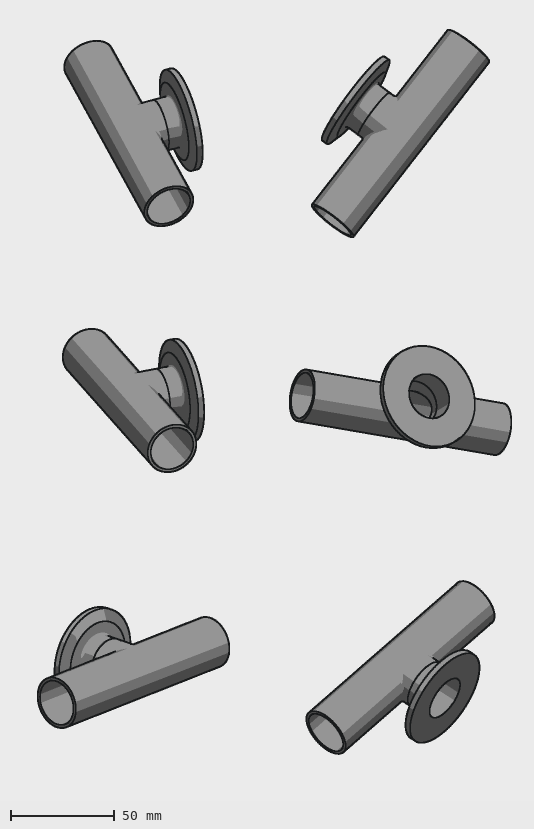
import cadquery as cq
import math

pipe_diameter = 25.4
wall = 1.6
pipe_radius = pipe_diameter / 2
bore_radius = pipe_radius - wall

run_length = 108.0
crotch_radius = 1.0

face_y = 41.3 - pipe_radius
ferrule_length = 12.6
flange_diameter = 50.4
rim_thickness = 3.0
flange_thickness = 5.0
back_diameter = 38.7
neck_fillet = 1.5
joint_y = face_y - ferrule_length


def run_cylinder(radius):
    """Cylinder along X over the whole run."""
    return cq.Workplane("YZ").circle(radius).extrude(run_length / 2, both=True)


def branch_cylinder(radius):
    """Cylinder from the run axis along +Y to the weld joint."""
    return cq.Workplane("XZ").circle(radius).extrude(-joint_y)


def make_crotch():
    """Fillet in the corner on the -X side of the branch.

    A ball rolling along the corner has its centre on the mitre ellipse of two pipes of
    radius reach, and touches the run and the branch on ellipses that lie in the two planes
    bounding the wedge. The wedge is trimmed to the flat bevel between those ellipses,
    then hollowed by the path of the ball.
    """
    reach = pipe_radius + crotch_radius
    wedge = (
        cq.Workplane("XY")
        .polyline([(0, 0), (-reach, pipe_radius), (-pipe_radius, reach)])
        .close()
        .extrude(pipe_radius, both=True)
    )
    diagonal_plane = cq.Plane((0, 0, 0), xDir=(-1, 1, 0), normal=(-1, -1, 0))
    bevel = (
        cq.Workplane(diagonal_plane)
        .ellipse((pipe_radius + reach) / math.sqrt(2), pipe_radius)
        .extrude(reach, both=True)
    )
    ball_path = cq.Workplane(diagonal_plane).ellipse(reach * math.sqrt(2), reach)
    start_plane = cq.Plane((-reach, reach, 0), xDir=(-1, 1, 0), normal=(0, 0, 1))
    ball_sweep = cq.Workplane(start_plane).circle(crotch_radius).sweep(ball_path)
    return wedge.intersect(bevel).cut(ball_sweep)


def make_tee():
    outside = run_cylinder(pipe_radius).union(branch_cylinder(pipe_radius))
    crotch = make_crotch()
    for fillet in (crotch, crotch.mirror("YZ")):
        outside = outside.union(fillet)
    return outside.cut(run_cylinder(bore_radius)).cut(branch_cylinder(bore_radius))


def make_ferrule():
    rim_y = face_y - rim_thickness
    back_y = face_y - flange_thickness
    section = (
        cq.Workplane("XY")
        .moveTo(bore_radius, joint_y)
        .lineTo(pipe_radius, joint_y)
        .lineTo(pipe_radius, back_y - neck_fillet)
        .radiusArc((pipe_radius + neck_fillet, back_y), neck_fillet)
        .lineTo(back_diameter / 2, back_y)
        .lineTo(flange_diameter / 2, rim_y)
        .lineTo(flange_diameter / 2, face_y)
        .lineTo(bore_radius, face_y)
        .close()
    )
    return section.revolve(360, (0, 0, 0), (0, 1, 0))


tee = make_tee()
ferrule = make_ferrule()
result = cq.Compound.makeCompound([tee.val(), ferrule.val()])